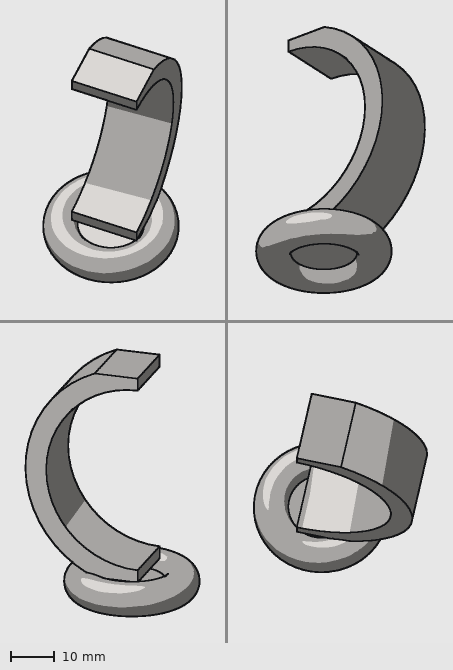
import cadquery as cq

base_diameter = 31.0
ring_thickness = 8.0
tube_radius = ring_thickness / 2
ring_radius = base_diameter / 2 - tube_radius
disc_thickness = 1.15

total_height = 57.0
hook_width = 16.0
hook_outer_radius = 27.0
hook_inner_radius = 22.0
hook_center_y = -4.05
hook_center_z = 32.0
hook_bottom = 2 * hook_center_z - total_height


def make_base():
    """Ring resting on Z = 0, with its opening closed by a thin disc at mid-height."""
    ring = (
        cq.Workplane("XZ")
        .center(-ring_radius, tube_radius)
        .circle(tube_radius)
        .revolve(360, (ring_radius, 0, 0), (ring_radius, 1, 0))
    )
    disc = cq.Workplane("XY").workplane(offset=tube_radius).circle(ring_radius)
    disc = disc.extrude(disc_thickness / 2, both=True)
    return ring.union(disc)


def make_hook():
    """Half ring on the +Y side, cut flat at equal heights above and below its centre."""
    ring = (
        cq.Workplane("YZ")
        .center(hook_center_y, hook_center_z)
        .circle(hook_outer_radius)
        .circle(hook_inner_radius)
        .extrude(hook_width / 2, both=True)
    )
    kept_region = cq.Workplane("XY").box(
        hook_width,
        hook_outer_radius,
        total_height - hook_bottom,
        centered=(True, False, False),
    ).translate((0, hook_center_y, hook_bottom))
    return ring.intersect(kept_region)


result = make_base().union(make_hook())